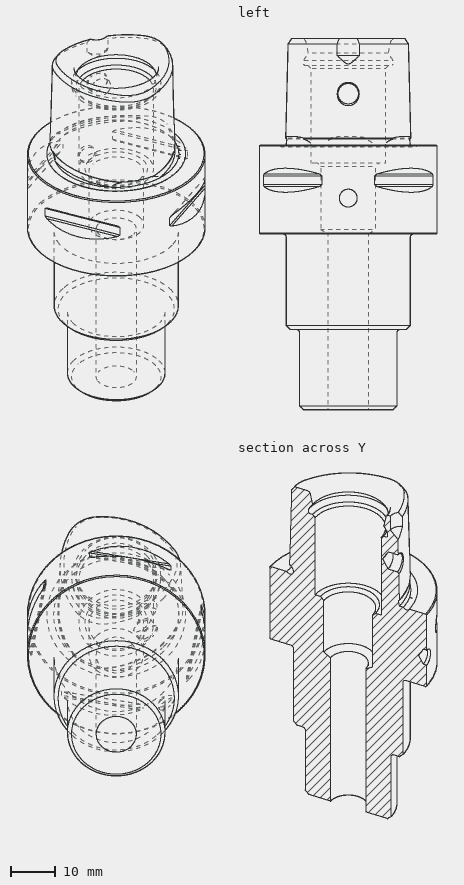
import cadquery as cq
import math

total_length = 83.5

flange_diameter = 40.0
flange_length = 20.0
flange_chamfer = 0.25

shank_length = 24.0
lobe_offset = 7.1
lobe_radius = 7.9
taper_per_side = 0.025
shank_chamfer_height = 1.25
shank_chamfer_width = 0.8
neck_length = 1.6
neck_inset = 0.25

ring_groove_inner_radius = 14.0
ring_groove_outer_radius = 15.6
ring_groove_depth = 0.4
undercut_radius = 1.7
undercut_height = 0.4

body_diameter = 28.0
body_bottom = 18.0
body_chamfer = 0.9
nose_diameter = 22.0
nose_chamfer = 0.9
root_fillet = 0.7

entry_diameter = 19.0
mouth_fillet = 1.0
entry_depth = 3.3
clamp_groove_diameter = 20.0
clamp_groove_start = 4.9
clamp_groove_end = 6.1
clamp_groove_fillet = 0.3
lip_diameter = 18.0
lip_end = 6.8
chamber_diameter = 16.8
chamber_depth = 28.0
thread_chamfer_diameter = 14.0
thread_diameter = 12.35
thread_depth = 15.0
through_diameter = 9.0

slot_count = 4
slot_floor_radius = 17.7
slot_floor_height = 2.0
slot_ledge_radius = 17.95
slot_ledge_height = 2.8
slot_mouth_height = 5.4
slot_z = 51.6

notch_diameter = 5.35
notch_axis_x = -13.45
notch_depth = 3.8
shank_hole_diameter = 4.6
shank_hole_z = 71.1
shank_hole_depth = 2.7
shank_hole_chamfer = 0.3
flange_hole_diameter = 4.0
flange_hole_z = 47.6
flange_hole_depth = 0.8

notch_tip_angle = 90
hole_tip_angle = 118

flange_top = total_length - shank_length
flange_bottom = flange_top - flange_length
flange_radius = flange_diameter / 2
body_radius = body_diameter / 2
nose_radius = nose_diameter / 2
taper_bottom = flange_top + neck_length
taper_top = total_length - shank_chamfer_height


def polar(radius, angle):
    """Point at the given radius and angle in degrees."""
    return (radius * math.cos(math.radians(angle)), radius * math.sin(math.radians(angle)))


def lobed_outline(radius, z):
    """Closed three-lobed outline of constant width, made of six tangent arcs."""
    flank_radius = radius + lobe_offset * math.sqrt(3)

    def on_arc(centre_angle, arc_radius, direction):
        centre = polar(lobe_offset, centre_angle)
        reach = polar(arc_radius, direction)
        return (centre[0] + reach[0], centre[1] + reach[1])

    outline = cq.Workplane("XY", origin=(0, 0, z)).moveTo(*on_arc(0, radius, -30))
    for lobe in (0, 120, 240):
        outline = outline.threePointArc(on_arc(lobe, radius, lobe), on_arc(lobe, radius, lobe + 30))
        opposite = lobe + 240
        outline = outline.threePointArc(
            on_arc(opposite, flank_radius, lobe + 60), on_arc(opposite, flank_radius, lobe + 90)
        )
    return outline.close().wires().val()


def lobed_frustum(lower_radius, lower_z, upper_radius, upper_z):
    """Solid between two lobed outlines."""
    wires = [lobed_outline(lower_radius, lower_z), lobed_outline(upper_radius, upper_z)]
    return cq.Workplane(cq.Solid.makeLoft(wires, True))


def revolved(points):
    """Solid of revolution about Z from (radius, z) points."""
    return cq.Workplane("XZ").polyline(points).close().revolve(360, (0, 0, 0), (0, 1, 0))


def turned_body():
    """Flange and the two cylinders below it, with rounded roots and chamfered edges."""
    profile = (
        cq.Workplane("XZ")
        .moveTo(0, 0)
        .lineTo(nose_radius - nose_chamfer, 0)
        .lineTo(nose_radius, nose_chamfer)
        .lineTo(nose_radius, body_bottom - root_fillet)
        .radiusArc((nose_radius + root_fillet, body_bottom), root_fillet)
        .lineTo(body_radius - body_chamfer, body_bottom)
        .lineTo(body_radius, body_bottom + body_chamfer)
        .lineTo(body_radius, flange_bottom - root_fillet)
        .radiusArc((body_radius + root_fillet, flange_bottom), root_fillet)
        .lineTo(flange_radius - flange_chamfer, flange_bottom)
        .lineTo(flange_radius, flange_bottom + flange_chamfer)
        .lineTo(flange_radius, flange_top - flange_chamfer)
        .lineTo(flange_radius - flange_chamfer, flange_top)
        .lineTo(0, flange_top)
        .close()
    )
    return profile.revolve(360, (0, 0, 0), (0, 1, 0))


def shank():
    """Waisted neck, tapered lobed stretch and chamfered end."""
    top_radius = lobe_radius - taper_per_side * (taper_top - taper_bottom)
    bevel_bottom = taper_bottom - neck_inset
    neck = lobed_frustum(lobe_radius, flange_top, lobe_radius - neck_inset, bevel_bottom)
    bevel = lobed_frustum(lobe_radius - neck_inset, bevel_bottom, lobe_radius, taper_bottom)
    taper = lobed_frustum(lobe_radius, taper_bottom, top_radius, taper_top)
    end = lobed_frustum(top_radius, taper_top, top_radius - shank_chamfer_width, total_length)
    return neck.union(bevel).union(taper).union(end)


def ring_groove():
    """Groove around the foot of the shank, hollowing the lobes above the flange face."""
    undercut_centre = ring_groove_inner_radius + undercut_radius
    undercut_middle_z = flange_top + undercut_height
    foot_radius = undercut_centre - math.sqrt(undercut_radius**2 - undercut_height**2)
    section = (
        cq.Workplane("XZ")
        .moveTo(ring_groove_outer_radius, flange_top)
        .threePointArc(
            ((foot_radius + ring_groove_outer_radius) / 2, flange_top - ring_groove_depth),
            (foot_radius, flange_top),
        )
        .threePointArc(
            (ring_groove_inner_radius, undercut_middle_z),
            (undercut_centre, undercut_middle_z + undercut_radius),
        )
        .close()
    )
    return section.revolve(360, (0, 0, 0), (0, 1, 0))


def stepped_bore():
    """Through bore with rounded mouth, clamping groove, chamber and drawbar hole."""

    def wall(diameter, depth):
        return (diameter / 2, total_length - depth)

    thread_chamfer = (thread_chamfer_diameter - thread_diameter) / 2
    thread_end = chamber_depth + thread_depth
    cone_length = (thread_diameter - through_diameter) / 2 / math.tan(math.radians(hole_tip_angle / 2))
    groove_floor_diameter = clamp_groove_diameter - 2 * clamp_groove_fillet
    profile = (
        cq.Workplane("XZ")
        .moveTo(0, total_length)
        .lineTo(*wall(entry_diameter + 2 * mouth_fillet, 0))
        .radiusArc(wall(entry_diameter, mouth_fillet), -mouth_fillet)
        .lineTo(*wall(lip_diameter, entry_depth))
        .lineTo(*wall(clamp_groove_diameter, clamp_groove_start))
        .lineTo(*wall(clamp_groove_diameter, clamp_groove_end - clamp_groove_fillet))
        .radiusArc(wall(groove_floor_diameter, clamp_groove_end), clamp_groove_fillet)
        .lineTo(*wall(lip_diameter, clamp_groove_end))
        .lineTo(*wall(chamber_diameter, lip_end))
        .lineTo(*wall(chamber_diameter, chamber_depth))
        .lineTo(*wall(thread_chamfer_diameter, chamber_depth))
        .lineTo(*wall(thread_diameter, chamber_depth + thread_chamfer))
        .lineTo(*wall(thread_diameter, thread_end))
        .lineTo(*wall(through_diameter, thread_end + cone_length))
        .lineTo(*wall(through_diameter, total_length))
        .lineTo(0, 0)
        .close()
    )
    return profile.revolve(360, (0, 0, 0), (0, 1, 0))


def gripper_slot(angle):
    """Flat-floored slot with narrow ledges and flared walls, cut straight across the flange rim."""
    edges = [
        (slot_floor_radius, slot_floor_height / 2),
        (slot_ledge_radius, slot_ledge_height / 2),
        (flange_radius, slot_mouth_height / 2),
    ]
    upper = [(radius, slot_z + half_height) for radius, half_height in edges]
    lower = [(radius, slot_z - half_height) for radius, half_height in reversed(edges)]
    slot = cq.Workplane("XZ").polyline(upper + lower).close().extrude(flange_radius, both=True)
    return slot.rotate((0, 0, 0), (0, 0, 1), angle)


def drilled_hole(diameter, depth, tip_angle, chamfer=0.0):
    """Drill shape along -Z from the origin, with a conical tip and open above."""
    radius = diameter / 2
    tip_length = radius / math.tan(math.radians(tip_angle / 2))
    hole = revolved([(0, radius), (radius, radius), (radius, -depth), (0, -depth - tip_length)])
    if chamfer:
        rim = radius + chamfer
        hole = hole.union(revolved([(0, rim), (rim + chamfer, chamfer), (radius, -chamfer), (0, -chamfer)]))
    return hole


def side_hole(hole, surface_x, z):
    """Turns a drill shape so that it enters the -X side."""
    return hole.rotate((0, 0, 0), (0, 1, 0), -90).translate((surface_x, 0, z))


result = turned_body().union(shank()).cut(ring_groove()).cut(stepped_bore())

for slot_number in range(slot_count):
    result = result.cut(gripper_slot(45 + slot_number * 360 / slot_count))

notch = drilled_hole(notch_diameter, notch_depth, notch_tip_angle)
result = result.cut(notch.translate((notch_axis_x, 0, total_length)))

foot_flank_distance = lobe_radius + lobe_offset * (math.sqrt(3) - 1)
flank_distance = foot_flank_distance - taper_per_side * (shank_hole_z - taper_bottom)
shank_hole = drilled_hole(shank_hole_diameter, shank_hole_depth, hole_tip_angle, shank_hole_chamfer)
result = result.cut(side_hole(shank_hole, -flank_distance, shank_hole_z))

flange_hole = drilled_hole(flange_hole_diameter, flange_hole_depth, hole_tip_angle)
result = result.cut(side_hole(flange_hole, -flange_radius, flange_hole_z))